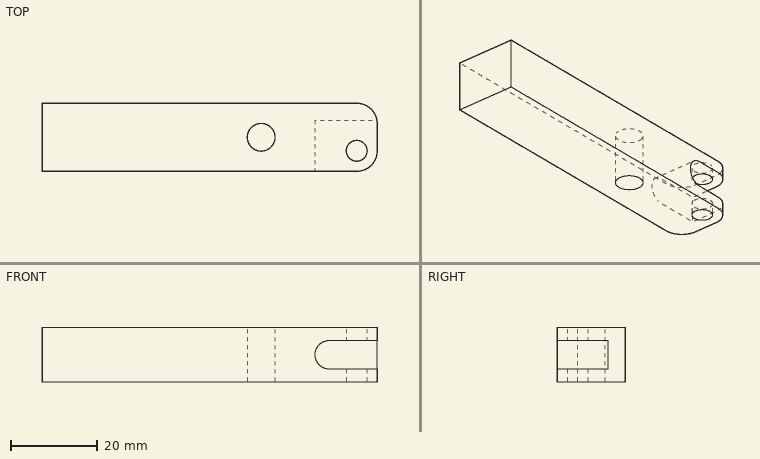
import cadquery as cq

LENGTH = 77.9
WIDTH = 15.88
HEIGHT = 12.7
CORNER_RADIUS = 4.8

SLOT_HEIGHT = 6.6
SLOT_LENGTH = 14.5
SLOT_FLOOR = 4.0

PIN_DIAMETER = 4.8
PIVOT_DIAMETER = 6.4
HOLE_SPACING = 22.2

END_X = LENGTH / 2
SIDE_Y = WIDTH / 2
PIN_X = END_X - CORNER_RADIUS
PIN_Y = -SIDE_Y + CORNER_RADIUS


def make_bar():
    """Square-cut bar, centred on the origin, with the two +X corners rounded."""
    bar = cq.Workplane("XY").box(LENGTH, WIDTH, HEIGHT)
    return bar.edges("|Z and >X").fillet(CORNER_RADIUS)


def make_slot():
    """Fork slot as a solid, running well past the +X end and stopping at its floor."""
    tip_x = END_X - SLOT_LENGTH
    slot_run = 2 * SLOT_LENGTH
    depth = WIDTH - SLOT_FLOOR
    return (
        cq.Workplane("XZ", origin=(tip_x + slot_run / 2, -SIDE_Y, 0))
        .slot2D(slot_run, SLOT_HEIGHT)
        .extrude(-depth)
    )


def make_hole(x, y, diameter):
    """Vertical cylinder spanning the full height of the bar."""
    return cq.Workplane("XY").center(x, y).circle(diameter / 2).extrude(HEIGHT / 2, both=True)


pin_hole = make_hole(PIN_X, PIN_Y, PIN_DIAMETER)
pivot_hole = make_hole(PIN_X - HOLE_SPACING, 0, PIVOT_DIAMETER)

result = make_bar().cut(make_slot()).cut(pin_hole).cut(pivot_hole)